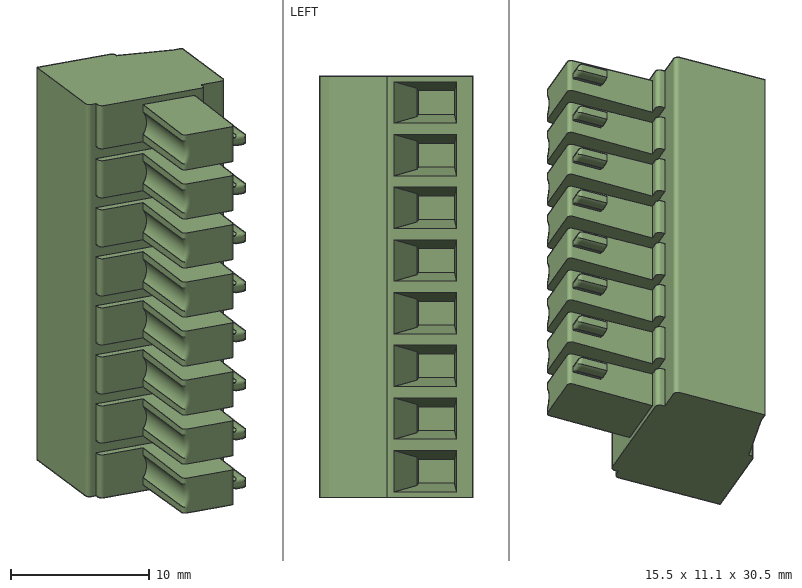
import cadquery as cq
import math

pole_count = 8
length = 30.48
pitch = length / pole_count
overlap = 0.3

housing_depth = 8.32
housing_width = 11.1
top_setback = 1.25
top_strip = 0.7
slope_foot_x = 0.43
ledge_y = 6.22
ledge_round = 0.3
corner_round = 0.35

rim_x = 8.93
rim_y_low = 0.7
rim_y_high = 9.17

post_tip_x = 15.5
post_y_low = 4.18
post_y_high = 8.32
post_tip_height = 2.7
post_draft = 0.75
post_root_height = post_tip_height + 2 * (post_tip_x - rim_x) * math.tan(math.radians(post_draft))
post_round = 0.3
groove_diameter = 3.0
groove_chord = 1.75

key_start_x = 13.0
key_end_x = 15.18
key_top_y = 9.48
key_shoulder_y = 9.15
key_head_y = 8.72
key_stem_y = 8.5
key_head_width = 0.82
key_stem_width = 0.55
key_top_diameter = 1.2
key_round = 0.27

funnel_depth = 2.5
funnel_mouth_y = (1.2, 5.7)
funnel_mouth_height = 3.0
funnel_back_y = (1.35, 3.93)
funnel_back_height = 1.7
funnel_bend_x = 1.83
funnel_bend_y = 4.05


def housing():
    outline = [
        (0, 0),
        (housing_depth, 0),
        (housing_depth, housing_width),
        (top_setback, housing_width),
        (top_setback, housing_width - top_strip),
        (slope_foot_x, ledge_y),
        (0, ledge_y),
    ]
    body = cq.Workplane("XY").polyline(outline).close().extrude(length)
    body = body.edges("|Z and >X").fillet(corner_round)
    ledge_edge = cq.selectors.NearestToPointSelector((0, ledge_y, length / 2))
    return body.edges(ledge_edge).fillet(ledge_round)


def rim():
    bar = (
        cq.Workplane("XY", origin=(housing_depth - overlap, rim_y_low, 0))
        .rect(rim_x - housing_depth + overlap, rim_y_high - rim_y_low, centered=False)
        .extrude(length)
        .edges("|Z and >X")
        .fillet(corner_round)
    )
    gap_height = pitch - post_root_height
    for gap in range(1, pole_count):
        cut = cq.Workplane("XY", origin=(housing_depth, 0, gap * pitch - gap_height / 2)).box(
            rim_x - housing_depth, housing_width, gap_height, centered=False
        )
        bar = bar.cut(cut)
    return bar


def post(middle_z):
    root = rim_x - overlap
    outline = [
        (root, middle_z - post_root_height / 2),
        (rim_x, middle_z - post_root_height / 2),
        (post_tip_x, middle_z - post_tip_height / 2),
        (post_tip_x, middle_z + post_tip_height / 2),
        (rim_x, middle_z + post_root_height / 2),
        (root, middle_z + post_root_height / 2),
    ]
    body = (
        cq.Workplane("XZ", origin=(0, post_y_high, 0))
        .polyline(outline)
        .close()
        .extrude(post_y_high - post_y_low)
    )
    radius = groove_diameter / 2
    axis_offset = math.sqrt(radius**2 - (groove_chord / 2) ** 2)
    groove = (
        cq.Workplane("YZ", origin=(rim_x, post_y_low - axis_offset, middle_z))
        .circle(radius)
        .extrude(post_tip_x - rim_x)
    )
    body = body.cut(groove)
    return body.faces(">X").edges("<Y or >Y or %CIRCLE").fillet(post_round)


def key(middle_z):
    head = key_head_width / 2
    stem = key_stem_width / 2
    root_y = post_y_high - overlap
    arc_radius = key_top_diameter / 2
    crest_rise = key_top_y - key_shoulder_y
    crest = head - arc_radius + math.sqrt(arc_radius**2 - crest_rise**2)
    body = (
        cq.Workplane("YZ", origin=(key_start_x, 0, middle_z))
        .moveTo(root_y, -stem)
        .lineTo(key_stem_y, -stem)
        .lineTo(key_head_y, -head)
        .lineTo(key_shoulder_y, -head)
        .radiusArc((key_top_y, -crest), -arc_radius)
        .lineTo(key_top_y, crest)
        .radiusArc((key_shoulder_y, head), -arc_radius)
        .lineTo(key_head_y, head)
        .lineTo(key_stem_y, stem)
        .lineTo(root_y, stem)
        .close()
        .extrude(key_end_x - key_start_x)
    )
    head_front = cq.selectors.BoxSelector(
        (key_start_x + overlap, key_head_y, middle_z - head - overlap),
        (key_end_x + overlap, key_top_y + overlap, middle_z + head + overlap),
    )
    return body.edges(">X").edges(head_front).fillet(key_round)


def funnel(middle_z):
    side_outline = [
        (0, funnel_mouth_y[0]),
        (funnel_depth, funnel_back_y[0]),
        (funnel_depth, funnel_back_y[1]),
        (funnel_bend_x, funnel_bend_y),
        (0, funnel_mouth_y[1]),
    ]
    height_outline = [
        (0, -funnel_mouth_height / 2),
        (funnel_depth, -funnel_back_height / 2),
        (funnel_depth, funnel_back_height / 2),
        (0, funnel_mouth_height / 2),
    ]
    across = (
        cq.Workplane("XY", origin=(0, 0, middle_z))
        .polyline(side_outline)
        .close()
        .extrude(funnel_mouth_height, both=True)
    )
    upright = (
        cq.Workplane("XZ", origin=(0, housing_width, middle_z))
        .polyline(height_outline)
        .close()
        .extrude(housing_width)
    )
    return across.intersect(upright)


result = housing().union(rim())
for pole in range(pole_count):
    z = (pole + 0.5) * pitch
    result = result.union(post(z)).union(key(z)).cut(funnel(z))